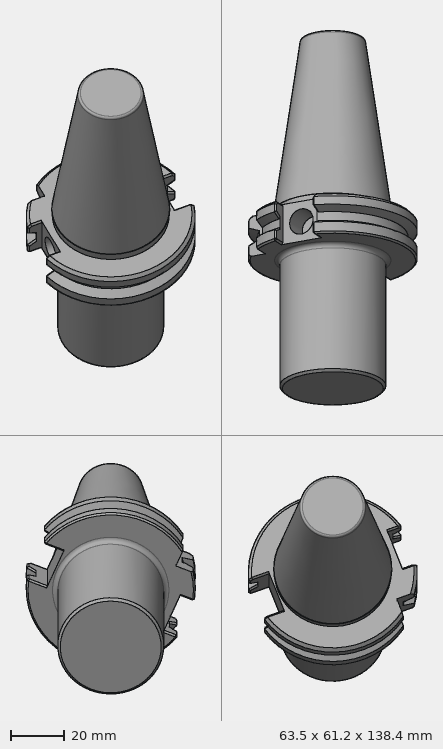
import cadquery as cq
import math

total_length = 138.4
body_radius = 19.9
body_end_chamfer = 1.0
body_fillet = 2.0

gauge_height = 70.0
gauge_diameter = 44.4
gauge_radius = gauge_diameter / 2
taper_slope = 7 / 48
tip_radius = gauge_radius - (total_length - gauge_height) * taper_slope
tip_fillet = 1.0
neck_radius = 22.0

flange_diameter = 63.5
flange_radius = flange_diameter / 2
flange_bottom = 51.0
flange_top = 66.8
flange_height = flange_top - flange_bottom
flange_top_chamfer = 1.2
flange_bottom_chamfer = 0.7
groove_height = 58.8
groove_floor_radius = 28.2
groove_floor_width = 3.5
groove_mouth_width = 6.9

slot_width = 15.6
slot_edge_chamfer = 0.7
front_slot_floor = 24.9
back_slot_floor = 22.5
notch_offset = 18.7
hole_diameter = 10.0
hole_depth = 10.0

tolerance = 0.001


def turned_blank():
    """Revolve the complete half profile, from the bottom end to the taper tip."""
    fillet_mid = body_fillet * (1 - math.sqrt(0.5))
    profile = (
        cq.Workplane("XZ")
        .lineTo(body_radius - body_end_chamfer, 0)
        .lineTo(body_radius, body_end_chamfer)
        .lineTo(body_radius, flange_bottom - body_fillet)
        .threePointArc(
            (body_radius + fillet_mid, flange_bottom - fillet_mid),
            (body_radius + body_fillet, flange_bottom),
        )
        .lineTo(flange_radius - flange_bottom_chamfer, flange_bottom)
        .lineTo(flange_radius, flange_bottom + flange_bottom_chamfer)
        .lineTo(flange_radius, groove_height - groove_mouth_width / 2)
        .lineTo(groove_floor_radius, groove_height - groove_floor_width / 2)
        .lineTo(groove_floor_radius, groove_height + groove_floor_width / 2)
        .lineTo(flange_radius, groove_height + groove_mouth_width / 2)
        .lineTo(flange_radius, flange_top - flange_top_chamfer)
        .lineTo(flange_radius - flange_top_chamfer, flange_top)
        .lineTo(neck_radius, flange_top)
        .lineTo(neck_radius, gauge_height)
        .lineTo(gauge_radius, gauge_height)
        .lineTo(tip_radius, total_length)
        .lineTo(0, total_length)
        .close()
    )
    return profile.revolve(360, (0, 0, 0), (0, 1, 0)).faces(">Z").edges().fillet(tip_fillet)


def flange_cutter(x_min, x_max, y_min, y_max):
    """Block through the full flange height."""
    return (
        cq.Workplane("XY")
        .box(x_max - x_min, y_max - y_min, flange_height, centered=False)
        .translate((x_min, y_min, flange_bottom))
    )


def is_slot_mouth_edge(edge):
    """True for the slot wall edges, except at the slot floor and the groove floor."""
    box = edge.BoundingBox()
    middle = edge.Center()
    on_wall = box.xlen < tolerance and abs(abs(middle.x) - slot_width / 2) < tolerance
    wall_starts = (-front_slot_floor, back_slot_floor)
    at_floor = box.ylen < tolerance and min(abs(middle.y - start) for start in wall_starts) < tolerance
    at_groove_floor = abs(math.hypot(middle.x, middle.y) - groove_floor_radius) < tolerance
    return on_wall and not at_floor and not at_groove_floor


def chamfer_slot_mouths(part):
    mouth_edges = [edge for edge in part.edges().vals() if is_slot_mouth_edge(edge)]
    return part.newObject(mouth_edges).chamfer(slot_edge_chamfer)


def front_hole():
    """Blind hole into the floor of the front slot, level with the groove."""
    return (
        cq.Workplane("XZ", origin=(0, -front_slot_floor, groove_height))
        .circle(hole_diameter / 2)
        .extrude(-hole_depth)
    )


half_slot = slot_width / 2
part = turned_blank()
front_slot = flange_cutter(-half_slot, half_slot, -flange_radius, -front_slot_floor)
back_slot = flange_cutter(-half_slot, half_slot, back_slot_floor, flange_radius)
part = part.cut(front_slot)
part = part.cut(back_slot)
part = chamfer_slot_mouths(part)
part = part.cut(flange_cutter(-flange_radius, -notch_offset, -flange_radius, -notch_offset))
result = part.cut(front_hole())